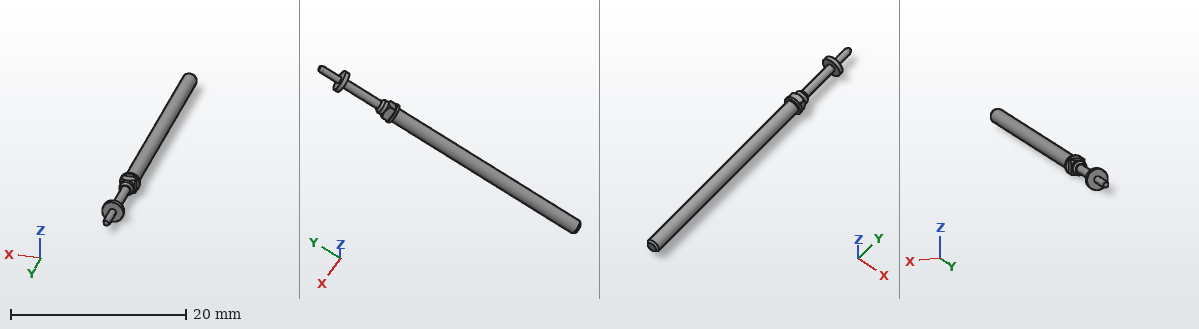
import cadquery as cq

total_length = 35.8
back_y = total_length / 2

body_diameter = 1.7
tail_diameter = 0.82
neck_diameter = 1.05
collar_start_diameter = 1.25
disc_diameter = 2.5

disc_start = 2.75
disc_thickness = 0.55
collar_start = 8.25
collar_taper_length = 0.32
square_start = 9.02
flange_start = 10.0
flange_thickness = 0.32

tail_bevel_length = 0.35
tail_bevel_depth = 0.1
nose_bevel_length = 0.3
nose_bevel_depth = 0.2

square_side = body_diameter
flange_diameter = 2.33
square_taper_length = 0.25


def rod(diameter, start, length):
    """Cylinder on the Y axis, running forward from a depth below the tail end."""
    plane = cq.Workplane("XZ", origin=(0, back_y - start, 0))
    return plane.circle(diameter / 2).extrude(length)


def cone(start_diameter, end_diameter, start, length):
    """Frustum on the Y axis, running forward from a depth below the tail end."""
    solid = cq.Solid.makeCone(
        start_diameter / 2,
        end_diameter / 2,
        length,
        pnt=cq.Vector(0, back_y - start, 0),
        dir=cq.Vector(0, -1, 0),
    )
    return cq.Workplane(obj=solid)


def tail():
    """Thin tail with a bevelled end, the thin disc and the neck behind the collar."""
    tip = cone(tail_diameter - 2 * tail_bevel_depth, tail_diameter, 0, tail_bevel_length)
    shaft = rod(tail_diameter, tail_bevel_length, disc_start - tail_bevel_length)
    disc = rod(disc_diameter, disc_start, disc_thickness)
    neck_start = disc_start + disc_thickness
    neck = rod(neck_diameter, neck_start, collar_start - neck_start)
    return tip.union(shaft).union(disc).union(neck)


def body():
    """Tapered collar, long barrel with a bevelled nose, and the flange."""
    barrel_start = collar_start + collar_taper_length
    barrel_length = total_length - nose_bevel_length - barrel_start
    taper = cone(collar_start_diameter, body_diameter, collar_start, collar_taper_length)
    barrel = rod(body_diameter, barrel_start, barrel_length)
    nose_start = barrel_start + barrel_length
    nose = cone(body_diameter, body_diameter - 2 * nose_bevel_depth, nose_start, nose_bevel_length)
    flange = rod(flange_diameter, flange_start, flange_thickness)
    return taper.union(barrel).union(nose).union(flange)


def square_section():
    """Square behind the flange, its corners turned round and tapered at the rear."""
    length = flange_start - square_start
    plane = cq.Workplane("XZ", origin=(0, back_y - square_start, 0))
    square = plane.rect(square_side, square_side).extrude(length)
    turned = cone(body_diameter, flange_diameter, square_start, square_taper_length)
    straight = rod(flange_diameter, square_start + square_taper_length, length - square_taper_length)
    return square.intersect(turned.union(straight))


result = tail().union(body()).union(square_section())